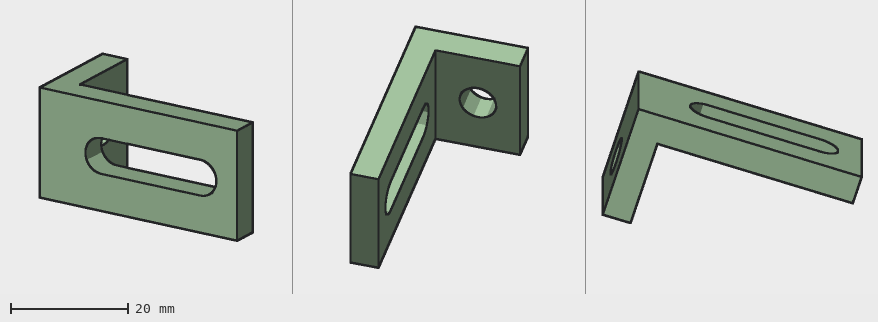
import cadquery as cq

length = 40.0
depth = 20.0
height = 20.0
thickness = 5.0

bolt_clearance = 6.5
corner_to_bolt = 12.5
slot_travel = 20.0
mid_height = height / 2


def make_bracket():
    """Two plates meeting at the outer corner, which sits at the origin."""
    long_plate = cq.Workplane("XY").box(length, thickness, height, centered=False)
    short_plate = cq.Workplane("XY").box(thickness, depth, height, centered=False)
    return long_plate.union(short_plate)


def make_slot():
    """Round-ended slot through the long plate, along Y."""
    slot_middle = corner_to_bolt + slot_travel / 2
    return (
        cq.Workplane("XZ")
        .center(slot_middle, mid_height)
        .slot2D(slot_travel + bolt_clearance, bolt_clearance)
        .extrude(-thickness)
    )


def make_hole():
    """Round hole through the short plate, along X."""
    return (
        cq.Workplane("YZ")
        .center(corner_to_bolt, mid_height)
        .circle(bolt_clearance / 2)
        .extrude(thickness)
    )


result = make_bracket().cut(make_slot()).cut(make_hole())